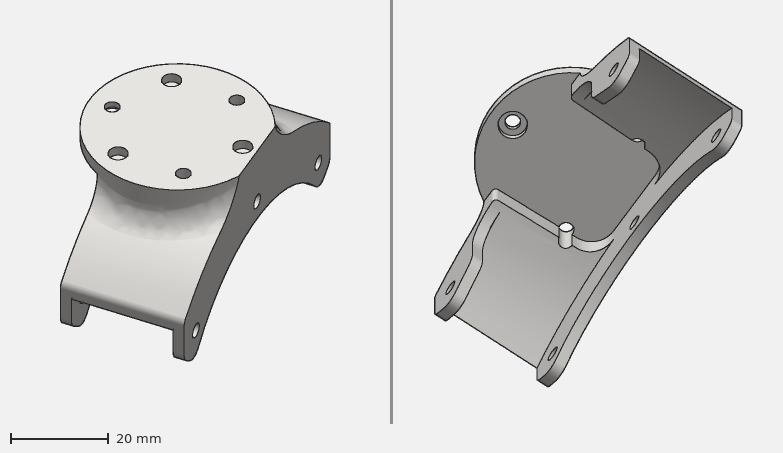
import cadquery as cq
import math

disc_radius = 20.0
disc_thickness = 3.0
bolt_circle_radius = 14.8
through_hole_diameter = 3.2
blind_hole_diameter = 4.1
blind_hole_depth = 2.2
head_recess_diameter = 6.0
head_recess_depth = 1.6
through_holes_angle = 60
blind_holes_angle = 0

bracket_x_min = -10.0
bracket_x_max = 18.06
wall_thickness = 2.53
half_length = 35.0
arc_axis_z = -55.0
outer_radius = 50.0
shell_thickness = 2.0
shell_inner_radius = outer_radius - shell_thickness
neck_fillet = 7.0
shoulder_fillet = 2.0

ear_angle = 45.0
pivot_radius = 41.5
ear_end_slope = 37.5
ear_end_corner_z = -29.46
ear_fillet = 3.0
near_ear_inner_radius = 35.9
far_wall_inner_radius = 36.9

opening_half_width = 21.4
opening_top_fillet = 9.0
opening_bottom_fillet = 5.0

pocket_mouth_half_width = 13.45
pocket_end_half_width = 12.85
pocket_corner_fillet = 5.5
pocket_mouth_fillet = 1.0

margin = 5.0
pick_reach = 0.3

channel_x_min = bracket_x_min + wall_thickness
channel_x_max = bracket_x_max - wall_thickness
bracket_width = bracket_x_max - bracket_x_min
lowest_z = arc_axis_z - margin


def box_between(x_range, y_range, z_range):
    """Axis-aligned box spanning the three given ranges."""
    size = [high - low for low, high in (x_range, y_range, z_range)]
    corner = (x_range[0], y_range[0], z_range[0])
    return cq.Workplane("XY").box(*size, centered=False).translate(corner)


def arc_cylinder(radius, x_min, x_max):
    """Cylinder about the arc axis between two X positions."""
    plane = cq.Workplane("YZ", origin=(x_min, 0, arc_axis_z))
    return plane.circle(radius).extrude(x_max - x_min)


def fillet_at(body, radius, places):
    """Round the edges parallel to X that pass through the given (Y, Z) places."""
    half_span = 2 * half_length
    for y, z in places:
        low = (-half_span, y - pick_reach, z - pick_reach)
        high = (half_span, y + pick_reach, z + pick_reach)
        body = body.edges("|X").edges(cq.selectors.BoxSelector(low, high)).fillet(radius)
    return body


def mirrored(y, z):
    """A (Y, Z) place and its mirror image across the XZ plane."""
    return [(y, z), (-y, z)]


def arc_height(radius, y):
    """Z of an arc of the given radius above position Y."""
    return arc_axis_z + math.sqrt(radius**2 - y**2)


def ear_point(radius):
    """(Y, Z) of the point where the ear's centre ray meets an arc of the given radius."""
    angle = math.radians(ear_angle)
    return radius * math.sin(angle), arc_axis_z + radius * math.cos(angle)


def make_saddle(x_min, x_max):
    """Solid under the outer arc, with upright sides and sloping ear ends that meet in a V."""
    apex_z = ear_end_corner_z - half_length * math.tan(math.radians(ear_end_slope))
    outline = [
        (-half_length, 0),
        (-half_length, ear_end_corner_z),
        (0, apex_z),
        (half_length, ear_end_corner_z),
        (half_length, 0),
    ]
    frame = cq.Workplane("YZ", origin=(x_min, 0, 0)).polyline(outline).close().extrude(x_max - x_min)
    saddle = arc_cylinder(outer_radius, x_min, x_max).intersect(frame)
    shoulder_z = arc_height(outer_radius, half_length)
    saddle = fillet_at(saddle, shoulder_fillet, mirrored(half_length, shoulder_z))
    return fillet_at(saddle, ear_fillet, mirrored(half_length, ear_end_corner_z))


def make_outer_body():
    """Saddle blended into the disc's column, trimmed to the bracket's width, plus the disc."""
    blend_reach = disc_radius + 2 * neck_fillet
    saddle = make_saddle(-blend_reach, blend_reach)
    column = cq.Workplane("XY", origin=(0, 0, -disc_radius)).circle(disc_radius)
    column = column.extrude(disc_radius + neck_fillet)
    reach = disc_radius + pick_reach
    around_seam = cq.selectors.BoxSelector(
        (-reach, -reach, -disc_radius), (reach, reach, -disc_thickness), boundingbox=True
    )
    blend = saddle.union(column).edges(around_seam).fillet(neck_fillet)
    blend = blend.intersect(
        box_between((bracket_x_min, bracket_x_max), (-half_length, half_length), (lowest_z, 0))
    )
    disc = cq.Workplane("XY").circle(disc_radius).extrude(-disc_thickness)
    disc = disc.intersect(
        box_between((-disc_radius, bracket_x_max), (-half_length, half_length), (-disc_thickness, 0))
    )
    return blend.union(disc)


def make_channel():
    """Space between the two walls, under the shell."""
    return arc_cylinder(shell_inner_radius, channel_x_min, channel_x_max)


def make_far_opening():
    """Round arch under the wall at bracket_x_max."""
    return arc_cylinder(far_wall_inner_radius, channel_x_max, bracket_x_max + margin)


def make_near_opening():
    """Arch with upright sides that flare out at 45 degrees along the ears."""
    side = opening_half_width
    top_z = arc_height(shell_inner_radius, side)
    ear_y, ear_z = ear_point(near_ear_inner_radius)
    knee_z = ear_z + ear_y - side
    foot_y = ear_y + ear_z - lowest_z
    opening = (
        cq.Workplane("YZ", origin=(bracket_x_min - margin, 0, 0))
        .moveTo(-side, top_z)
        .threePointArc((0, arc_axis_z + shell_inner_radius), (side, top_z))
        .lineTo(side, knee_z)
        .lineTo(foot_y, lowest_z)
        .lineTo(-foot_y, lowest_z)
        .lineTo(-side, knee_z)
        .close()
        .extrude(margin + wall_thickness)
    )
    opening = fillet_at(opening, opening_top_fillet, mirrored(side, top_z))
    return fillet_at(opening, opening_bottom_fillet, mirrored(side, knee_z))


def make_pocket():
    """Pocket from the underside of the disc down into the channel, open towards -X."""
    pocket = (
        cq.Workplane("XY", origin=(0, 0, -disc_thickness))
        .moveTo(bracket_x_min, -pocket_mouth_half_width)
        .lineTo(channel_x_max, -pocket_end_half_width)
        .lineTo(channel_x_max, pocket_end_half_width)
        .lineTo(bracket_x_min, pocket_mouth_half_width)
        .close()
        .extrude(-disc_radius)
    )
    return pocket.edges("|Z and >X").fillet(pocket_corner_fillet)


def round_pocket_mouth(body):
    """Round the two upright edges where the pocket opens through the wall."""
    for sign in (-1, 1):
        y = sign * pocket_mouth_half_width
        low = (bracket_x_min - pick_reach, y - pick_reach, -disc_radius)
        high = (bracket_x_min + pick_reach, y + pick_reach, 0)
        body = body.edges("|Z").edges(cq.selectors.BoxSelector(low, high)).fillet(pocket_mouth_fillet)
    return body


def round_ear_tips(body):
    """Round the lowest corner of each ear on both walls."""
    tips = cq.selectors.BoxSelector(
        (bracket_x_min - margin, -half_length, -half_length),
        (bracket_x_max + margin, half_length, ear_end_corner_z - ear_fillet),
    )
    return body.edges("|X").edges(tips).fillet(ear_fillet)


def make_disc_holes(first_angle, diameter, depth):
    """Three holes on the disc's bolt circle."""
    return (
        cq.Workplane("XY")
        .polarArray(bolt_circle_radius, first_angle, 360, 3)
        .circle(diameter / 2)
        .extrude(-depth)
    )


def make_head_recess():
    """Screw-head recess from below, at the through hole in the overhanging side of the disc."""
    recess = cq.Workplane("XY", origin=(-bolt_circle_radius, 0, -disc_thickness))
    return recess.circle(head_recess_diameter / 2).extrude(head_recess_depth)


def make_pivot_holes():
    """Cross holes on the pivot circle: one in the middle, one in each ear."""
    middle_z = arc_axis_z + pivot_radius
    ear_y, ear_z = ear_point(pivot_radius)
    places = [(0, middle_z), (ear_y, ear_z), (-ear_y, ear_z)]
    return (
        cq.Workplane("YZ", origin=(bracket_x_min - margin, 0, 0))
        .pushPoints(places)
        .circle(through_hole_diameter / 2)
        .extrude(bracket_width + 2 * margin)
    )


result = make_outer_body()
result = result.cut(make_channel())
result = result.cut(make_far_opening())
result = result.cut(make_near_opening())
result = round_ear_tips(result)
result = result.cut(make_pocket())
result = round_pocket_mouth(result)
result = result.cut(make_disc_holes(through_holes_angle, through_hole_diameter, -lowest_z))
result = result.cut(make_disc_holes(blind_holes_angle, blind_hole_diameter, blind_hole_depth))
result = result.cut(make_head_recess())
result = result.cut(make_pivot_holes())